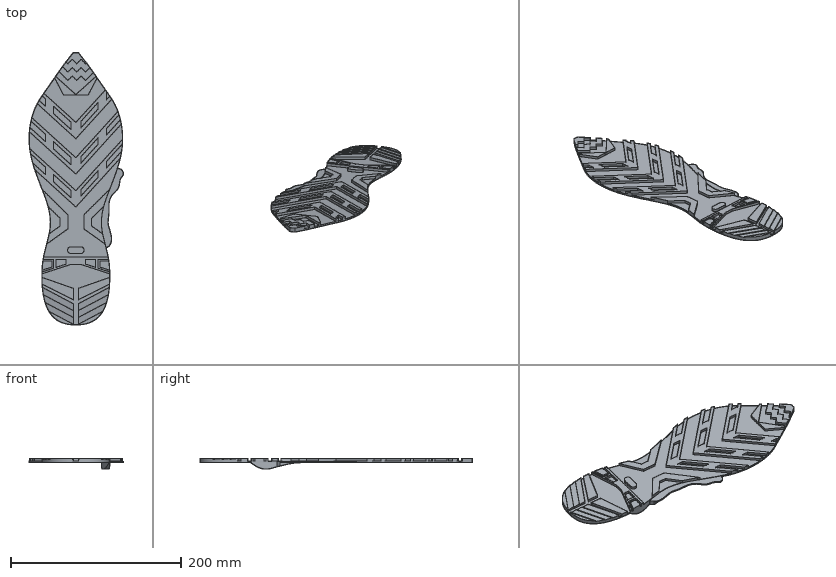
import cadquery as cq
import math

SOLE_LENGTH = 319.94
TOE_TIP_HALF_WIDTH = 3.1
PLATE_THICKNESS = 2.0
TREAD_HEIGHT = 3.0
SOLE_TOP = PLATE_THICKNESS + TREAD_HEIGHT
REACH = 70.0

SOLE_STATIONS = [
    (18.0, 300.5), (32.8, 279.0), (45.2, 260.5), (52.0, 243.0), (55.0, 222.0), (53.2, 200.0),
    (48.4, 182.5), (42.0, 165.0), (35.4, 148.0), (30.9, 131.0), (30.0, 119.0), (32.0, 104.5),
    (36.5, 87.0), (39.4, 71.0), (40.0, 57.0), (39.3, 42.0), (36.2, 26.4), (30.5, 14.0), (20.5, 4.6),
]

CHEVRON_APEXES = [238.0, 196.5, 157.8]
CHEVRON_DEPTH = 19.2
LEFT_SLOPE = 0.91
RIGHT_SLOPE = 1.10
SLOT_INNER_X = 5.8
SLOT_OUTER_X = 26.2
EDGE_SLOT_X = 35.8
LEFT_SLOT_SPAN = (4.9, 13.5)
RIGHT_SLOT_SPAN = (5.3, 12.9)

TOE_PAD_BACK_Y = 270.2
TOE_PAD_BACK_HALF_WIDTH = 14.5
TOE_PAD_SIDE_SLOPE = 1.92
TOE_PAD_SIDE_RUN = 20.0
TOE_PAD_FRONT_APEX_Y = 270.7
TOE_PAD_FRONT_SLOPE = 0.90
ZIGZAG_VALLEYS_Y = [306.9, 297.2, 287.3]
ZIGZAG_CENTRE_X = 1.0
ZIGZAG_HALF_PITCH = 5.2
ZIGZAG_HEIGHT = 5.3
ZIGZAG_END_RUN = 31.0

BRACKET_OUTER = {"x": 9.4, "front_y": 129.4, "back_y": 112.9}
BRACKET_INNER = {"x": 18.4, "front_y": 125.2, "back_y": 116.4}
BRACKET_FRONT_SLOPE = 0.99
BRACKET_BACK_SLOPE = 0.715

OVAL_LENGTH = 19.4
OVAL_WIDTH = 8.0
OVAL_Y = 87.9

BAR_FRONT_Y = 80.0
BAR_BACK_Y = 71.3
BAR_FLAT_HALF_WIDTH = 5.3
BAR_BACK_SLOPE = 0.325
WINDOW_FRONT_Y = 77.2
WINDOW_RIM = 2.2
WINDOW_INNER_X = 11.6
WINDOW_OUTER_X = 23.3
NOTCH_X = 26.1
ISLAND_GAP = 2.0

HEEL_GROOVE_HALF_WIDTH = 2.9
FRONT_PAD_FRONT_Y = 43.0
FRONT_PAD_FRONT_SLOPE = 0.35
FRONT_PAD_BACK_Y = 29.6
FRONT_PAD_BACK_SLOPE = 0.50
REAR_PAD_FRONT_Y = 24.9
RIDGE_SLOPE = 0.53
RIDGE_COUNT = 3
RIDGE_PITCH = 8.05
RIDGE_DROP = 1.0

WING_THICKNESS = 1.5
WING_TIP = (55.96, 177.3)
WING_ROOT_FRONT = (48.0, 183.6)
WING_ROOT_BACK = (36.0, 90.6)
WING_EDGE = [
    (54.7, 181.3), WING_TIP, (52.9, 172.3), (51.6, 167.0), (49.6, 160.2), (43.5, 153.5),
    (39.4, 144.7), (39.0, 131.0), (38.2, 118.0), (39.4, 113.3), (41.8, 104.4), (41.5, 97.0),
]
WING_INNER_X = 28.0
LUG_DEPTH = 7.54
LUG_FRONT_Y = 118.0
LUG_BACK_Y = 59.5
LUG_INNER_X = 30.0
LUG_BEND_Y = 91.0
LUG_INNER_BACK_X = 39.0
LUG_OUTER_X = 40.0
LUG_LOW_POINT = (77.0, -LUG_DEPTH)
LUG_FRONT_CURVE = [(104.0, -1.5), (86.0, -6.1), LUG_LOW_POINT]
LUG_BACK_CURVE = [(68.5, -5.6), (LUG_BACK_Y, 0)]
LUG_BACK_TANGENT = (-1, 0.7)
LUG_INNER_TANGENT = (0.35, -1)
LUG_CLEARANCE = 1.0


def prism(points, bottom, top):
    """Upright prism on a closed polygon."""
    return cq.Workplane("XY").workplane(offset=bottom).polyline(points).close().extrude(top - bottom)


def tread(points):
    """Raised block from the plate up to the tread surface."""
    return prism(points, PLATE_THICKNESS, SOLE_TOP)


def mirrored(points):
    return [(-x, y) for x, y in points]


def both_sides(points):
    """The same block on the right and on the left of the centre line."""
    return tread(points).union(tread(mirrored(points)))


def sole_blank(height):
    heel_back = (0, 0)
    left = mirrored(reversed(SOLE_STATIONS))
    tip_right = (TOE_TIP_HALF_WIDTH, SOLE_LENGTH)
    tip_left = (-TOE_TIP_HALF_WIDTH, SOLE_LENGTH)
    return (
        cq.Workplane("XY")
        .moveTo(*tip_left)
        .lineTo(*tip_right)
        .spline(SOLE_STATIONS + [heel_back] + left + [tip_left], includeCurrent=True)
        .close()
        .extrude(height)
    )


def slanted_band(side, slope, front_y, back_y, inner_x, outer_x):
    """Parallelogram rising away from the centre line; the Y values are those at X = 0."""
    rise_inner = slope * inner_x
    rise_outer = slope * outer_x
    return tread([
        (side * inner_x, front_y + rise_inner),
        (side * outer_x, front_y + rise_outer),
        (side * outer_x, back_y + rise_outer),
        (side * inner_x, back_y + rise_inner),
    ])


def chevron_bar(apex_y):
    arms = ((-1, LEFT_SLOPE, LEFT_SLOT_SPAN), (1, RIGHT_SLOPE, RIGHT_SLOT_SPAN))
    bar = None
    for side, slope, span in arms:
        arm = slanted_band(side, slope, apex_y, apex_y - CHEVRON_DEPTH, 0, REACH)
        for inner_x, outer_x in ((SLOT_INNER_X, SLOT_OUTER_X), (EDGE_SLOT_X, REACH)):
            slot = slanted_band(side, slope, apex_y - span[0], apex_y - span[1], inner_x, outer_x)
            arm = arm.cut(slot)
        bar = arm if bar is None else bar.union(arm)
    return bar


def zigzag(valley_y):
    """Three valleys and two peaks from left to right, with straight ends running off the sole."""
    slope = ZIGZAG_HEIGHT / ZIGZAG_HALF_PITCH
    points = []
    for step in range(-2, 3):
        peak = ZIGZAG_HEIGHT if step % 2 else 0
        points.append((ZIGZAG_CENTRE_X + step * ZIGZAG_HALF_PITCH, valley_y + peak))
    left_end = (points[0][0] - ZIGZAG_END_RUN, valley_y + slope * ZIGZAG_END_RUN)
    right_end = (points[-1][0] + ZIGZAG_END_RUN, valley_y + slope * ZIGZAG_END_RUN)
    return [left_end] + points + [right_end]


def toe_treads():
    first, second, third = [zigzag(y) for y in ZIGZAG_VALLEYS_Y]
    beyond_toe = SOLE_LENGTH + REACH
    tip = tread(first + [(first[-1][0], beyond_toe), (first[0][0], beyond_toe)])
    band = tread(second + third[::-1])
    side_x = TOE_PAD_BACK_HALF_WIDTH + TOE_PAD_SIDE_RUN
    side_y = TOE_PAD_BACK_Y + TOE_PAD_SIDE_SLOPE * TOE_PAD_SIDE_RUN
    pad = tread([
        (-TOE_PAD_BACK_HALF_WIDTH, TOE_PAD_BACK_Y),
        (TOE_PAD_BACK_HALF_WIDTH, TOE_PAD_BACK_Y),
        (side_x, side_y),
        (-side_x, side_y),
    ])
    notch_y = TOE_PAD_FRONT_APEX_Y + TOE_PAD_FRONT_SLOPE * REACH
    pad = pad.cut(tread([(0, TOE_PAD_FRONT_APEX_Y), (REACH, notch_y), (-REACH, notch_y)]))
    return tip.union(band).union(pad)


def bracket_outline(corner):
    run = REACH - corner["x"]
    return [
        (REACH, corner["front_y"] + BRACKET_FRONT_SLOPE * run),
        (corner["x"], corner["front_y"]),
        (corner["x"], corner["back_y"]),
        (REACH, corner["back_y"] - BRACKET_BACK_SLOPE * run),
    ]


def waist_treads():
    brackets = both_sides(bracket_outline(BRACKET_OUTER)).cut(both_sides(bracket_outline(BRACKET_INNER)))
    oval = (
        cq.Workplane("XY")
        .workplane(offset=PLATE_THICKNESS)
        .center(0, OVAL_Y)
        .slot2D(OVAL_LENGTH, OVAL_WIDTH)
        .extrude(TREAD_HEIGHT)
    )
    return brackets.union(oval)


def bar_back(x):
    """Y of the back edge of the cross bar at a distance x from the centre line."""
    return BAR_BACK_Y - BAR_BACK_SLOPE * max(0, x - BAR_FLAT_HALF_WIDTH)


def bar_window(inner_x, outer_x, front_y, rim):
    return [
        (inner_x, front_y),
        (outer_x, front_y),
        (outer_x, bar_back(outer_x) + rim),
        (inner_x, bar_back(inner_x) + rim),
    ]


def cross_bar():
    flat = BAR_FLAT_HALF_WIDTH
    back = [(REACH, bar_back(REACH)), (flat, BAR_BACK_Y), (-flat, BAR_BACK_Y), (-REACH, bar_back(REACH))]
    bar = tread([(-REACH, BAR_FRONT_Y), (REACH, BAR_FRONT_Y)] + back)
    bar = bar.cut(both_sides(bar_window(WINDOW_INNER_X, WINDOW_OUTER_X, WINDOW_FRONT_Y, WINDOW_RIM)))
    bar = bar.cut(both_sides(bar_window(NOTCH_X, REACH, WINDOW_FRONT_Y, WINDOW_RIM)))
    island = bar_window(NOTCH_X + ISLAND_GAP, REACH, WINDOW_FRONT_Y - ISLAND_GAP, WINDOW_RIM + ISLAND_GAP)
    return bar.union(both_sides(island))


def ridge_cut(side, index):
    """Wedge removed behind one ridge: nothing at the ridge, RIDGE_DROP at the next ridge."""
    ridge_direction = (1, side * RIDGE_SLOPE, 0)
    toward_heel = (side * RIDGE_SLOPE, -1, 0)
    width = RIDGE_PITCH / math.hypot(1, RIDGE_SLOPE)
    ridge_y = REAR_PAD_FRONT_Y - index * RIDGE_PITCH - RIDGE_SLOPE * HEEL_GROOVE_HALF_WIDTH
    plane = cq.Plane(origin=(0, ridge_y, SOLE_TOP), xDir=toward_heel, normal=ridge_direction)
    section = [(0, 0), (width, 0), (width, RIDGE_DROP)]
    return cq.Workplane(plane).polyline(section).close().extrude(REACH, both=True)


def heel_pads():
    inner = HEEL_GROOVE_HALF_WIDTH
    run = REACH - inner
    pads = both_sides([
        (inner, FRONT_PAD_FRONT_Y),
        (REACH, FRONT_PAD_FRONT_Y + FRONT_PAD_FRONT_SLOPE * run),
        (REACH, FRONT_PAD_BACK_Y + FRONT_PAD_BACK_SLOPE * run),
        (inner, FRONT_PAD_BACK_Y),
    ])
    rear_outline = [
        (inner, REAR_PAD_FRONT_Y),
        (REACH, REAR_PAD_FRONT_Y + RIDGE_SLOPE * run),
        (REACH, -REACH),
        (inner, -REACH),
    ]
    for side, outline in ((1, rear_outline), (-1, mirrored(rear_outline))):
        rear_pad = tread(outline)
        for index in range(RIDGE_COUNT):
            rear_pad = rear_pad.cut(ridge_cut(side, index))
        pads = pads.union(rear_pad)
    return pads


def wing_blank(bottom, top):
    return (
        cq.Workplane("XY")
        .workplane(offset=bottom)
        .moveTo(*WING_ROOT_FRONT)
        .spline(WING_EDGE + [WING_ROOT_BACK], includeCurrent=True)
        .lineTo(WING_INNER_X, WING_ROOT_BACK[1])
        .lineTo(WING_INNER_X, WING_ROOT_FRONT[1])
        .close()
        .extrude(top - bottom)
    )


def lug():
    """Curved keel whose inner face bends outward to meet the edge of the heel."""
    level = (-1, 0)
    straight_back = (0, -1)
    bend_end = (LUG_INNER_BACK_X, LUG_BACK_Y)
    below = -LUG_DEPTH - LUG_CLEARANCE
    profile = (
        cq.Workplane("YZ")
        .moveTo(LUG_FRONT_Y, 0)
        .spline(LUG_FRONT_CURVE, tangents=[level, level], includeCurrent=True)
        .spline(LUG_BACK_CURVE, tangents=[level, LUG_BACK_TANGENT], includeCurrent=True)
        .lineTo(LUG_BACK_Y, WING_THICKNESS)
        .lineTo(LUG_FRONT_Y, WING_THICKNESS)
        .close()
        .extrude(LUG_OUTER_X)
    )
    inner_side = (
        cq.Workplane("XY")
        .workplane(offset=below)
        .moveTo(LUG_INNER_X, LUG_FRONT_Y)
        .lineTo(LUG_INNER_X, LUG_BEND_Y)
        .spline([bend_end], tangents=[straight_back, LUG_INNER_TANGENT], includeCurrent=True)
        .lineTo(REACH, LUG_BACK_Y)
        .lineTo(REACH, LUG_FRONT_Y)
        .close()
        .extrude(WING_THICKNESS - below)
    )
    plan = sole_blank(SOLE_TOP - below).translate((0, 0, below)).union(wing_blank(below, WING_THICKNESS))
    return profile.intersect(inner_side).intersect(plan)


treads = toe_treads().union(waist_treads()).union(cross_bar()).union(heel_pads())
for apex in CHEVRON_APEXES:
    treads = treads.union(chevron_bar(apex))

toe_limit = SOLE_LENGTH + REACH
tread_layer = tread([(-REACH, -REACH), (REACH, -REACH), (REACH, toe_limit), (-REACH, toe_limit)])
grooves = tread_layer.cut(treads)
result = sole_blank(SOLE_TOP).cut(grooves).union(wing_blank(0, WING_THICKNESS)).union(lug())